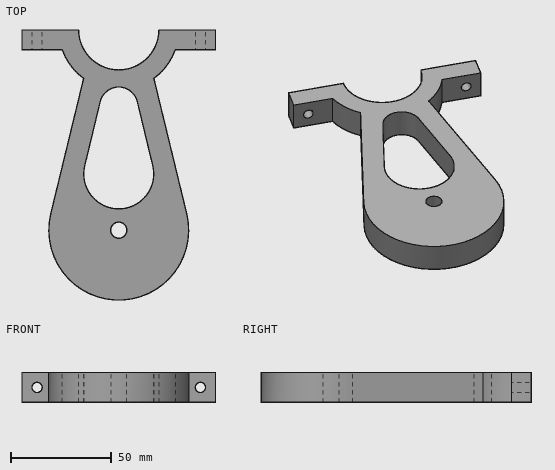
import cadquery as cq
import math

thickness = 15.0

clamp_inner_radius = 20.0
clamp_outer_radius = 30.0
tab_span = 96.5
tab_depth = 10.0
tab_hole_diameter = 5.0
tab_hole_spacing = 81.5

arm_root_radius = 11.3
disc_radius = 34.9
disc_distance = 100.0
disc_hole_diameter = 8.0

window_small_radius = 9.5
window_small_distance = 38.0
window_large_radius = 17.4
window_large_distance = 71.9


def tapered_slot(small_radius, small_y, large_radius, large_y):
    """Solid bounded by two circles on the Y axis and their outer tangents."""
    sine = (large_radius - small_radius) / (small_y - large_y)
    cosine = math.sqrt(1 - sine**2)
    small_x = small_radius * cosine
    small_tangent_y = small_y + small_radius * sine
    large_x = large_radius * cosine
    large_tangent_y = large_y + large_radius * sine
    return (
        cq.Workplane("XY")
        .moveTo(-small_x, small_tangent_y)
        .threePointArc((0, small_y + small_radius), (small_x, small_tangent_y))
        .lineTo(large_x, large_tangent_y)
        .threePointArc((0, large_y - large_radius), (-large_x, large_tangent_y))
        .close()
        .extrude(thickness)
    )


def half_disc(radius):
    """Half cylinder on the -Y side of the clamp axis."""
    return (
        cq.Workplane("XY")
        .moveTo(-radius, 0)
        .threePointArc((0, -radius), (radius, 0))
        .close()
        .extrude(thickness)
    )


arm = tapered_slot(arm_root_radius, 0, disc_radius, -disc_distance)
tabs = (
    cq.Workplane("XY")
    .center(0, -tab_depth / 2)
    .rect(tab_span, tab_depth)
    .extrude(thickness)
)
body = arm.union(half_disc(clamp_outer_radius)).union(tabs)

clamp_bore = cq.Workplane("XY").circle(clamp_inner_radius).extrude(thickness)
body = body.cut(clamp_bore)

window = tapered_slot(
    window_small_radius, -window_small_distance, window_large_radius, -window_large_distance
)
body = body.cut(window)

disc_hole = (
    cq.Workplane("XY")
    .center(0, -disc_distance)
    .circle(disc_hole_diameter / 2)
    .extrude(thickness)
)
body = body.cut(disc_hole)

tab_holes = (
    cq.Workplane("XZ")
    .center(0, thickness / 2)
    .pushPoints([(side * tab_hole_spacing / 2, 0) for side in (-1, 1)])
    .circle(tab_hole_diameter / 2)
    .extrude(tab_depth)
)
result = body.cut(tab_holes)